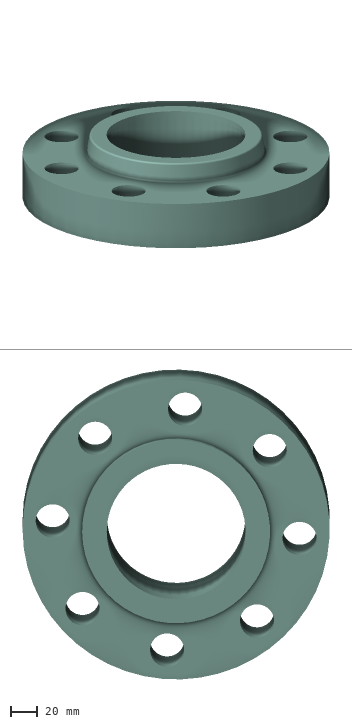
import cadquery as cq

flange_diameter = 228.5
flange_thickness = 35.0

face_diameter = 139.9
face_height = 6.5

hub_height = 14.2
hub_base_diameter = 133.2
hub_top_diameter = 128.5
hub_fillet = 1.5

bore_diameter = 103.3
bolt_count = 8
bolt_hole_diameter = 25.4
bolt_circle_diameter = 184.2

flange_top = face_height + flange_thickness
total_height = flange_top + hub_height


def disc(diameter, height, bottom=0):
    """Upright cylinder about Z, starting at the given level."""
    return cq.Workplane("XY").workplane(offset=bottom).circle(diameter / 2).extrude(height)


def tapered_hub():
    """Cone frustum standing on the top of the flange disc."""
    cone = cq.Solid.makeCone(hub_base_diameter / 2, hub_top_diameter / 2, hub_height)
    return cq.Workplane(cone).translate((0, 0, flange_top))


def round_hub(body):
    """Round the hub's top rim and fillet the root where it meets the disc."""
    return body.faces("%CONE").edges("%CIRCLE").fillet(hub_fillet)


def bolt_holes():
    """Ring of equally spaced cylinders that cut through the flange disc."""
    return (
        cq.Workplane("XY")
        .polarArray(bolt_circle_diameter / 2, 0, 360, bolt_count)
        .circle(bolt_hole_diameter / 2)
        .extrude(total_height)
    )


raised_face = disc(face_diameter, face_height)
flange = disc(flange_diameter, flange_thickness, face_height)
bore = disc(bore_diameter, total_height)

body = raised_face.union(flange).union(tapered_hub())
result = round_hub(body).cut(bore).cut(bolt_holes())